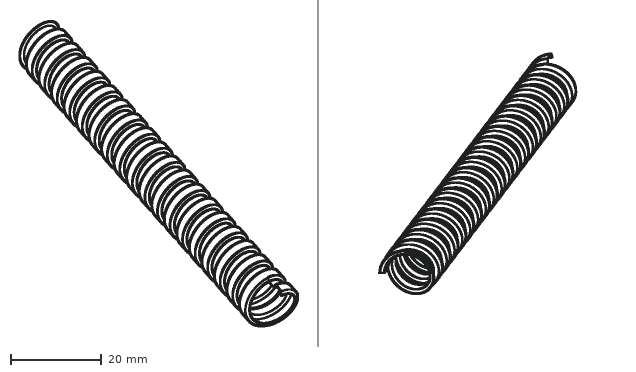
import cadquery as cq


length = 100.0
inner_radius = 9.8 / 2
outer_radius = 12.3 / 2
strip_thickness = 0.16
pitch = 5.167
foot_overhang = 0.06
leg_lean = 0.22
riser_lean = 0.22
leg_clearance = 0.02

strip_width = pitch + leg_clearance + leg_lean + 2 * (strip_thickness + foot_overhang)
winding_length = length - strip_width

inner_wall_top = inner_radius + strip_thickness
outer_wall_bottom = outer_radius - strip_thickness
upper_foot_bottom = outer_wall_bottom - strip_thickness
mean_radius = (inner_radius + outer_radius) / 2
leg_height = outer_wall_bottom - inner_wall_top


def upper_leg(radius):
    """Left side of the leg that rises from the inner wall at the strip's left edge."""
    return foot_overhang + leg_lean * (outer_wall_bottom - radius) / leg_height


def riser(radius):
    """Left side of the riser that joins the inner wall to the outer wall."""
    return (strip_width - strip_thickness) / 2 + riser_lean * (radius - mean_radius) / leg_height


def half_section():
    """Outline points (radius, axial position) from the inner wall around the upper foot to the outer wall."""
    return [
        (inner_radius, upper_leg(inner_radius)),
        (upper_foot_bottom, upper_leg(upper_foot_bottom)),
        (upper_foot_bottom, 0),
        (outer_wall_bottom, 0),
        (outer_wall_bottom, upper_leg(outer_wall_bottom) + strip_thickness),
        (inner_wall_top, upper_leg(inner_wall_top) + strip_thickness),
        (inner_wall_top, riser(inner_wall_top)),
        (outer_radius, riser(outer_radius)),
    ]


def strip_section():
    """S-shaped strip section in a plane through the axis; its halves match by a half turn."""
    first_half = half_section()
    second_half = [(2 * mean_radius - radius, strip_width - place) for radius, place in first_half]
    return cq.Workplane("XZ").polyline(first_half + second_half).close()


def wound_strip():
    """Strip wound around Z, starting at +X."""
    helix = cq.Wire.makeHelix(pitch, winding_length, inner_radius)
    return strip_section().sweep(cq.Workplane(helix), isFrenet=True)


result = wound_strip().rotate((0, 0, 0), (1, 1, 1), 120)